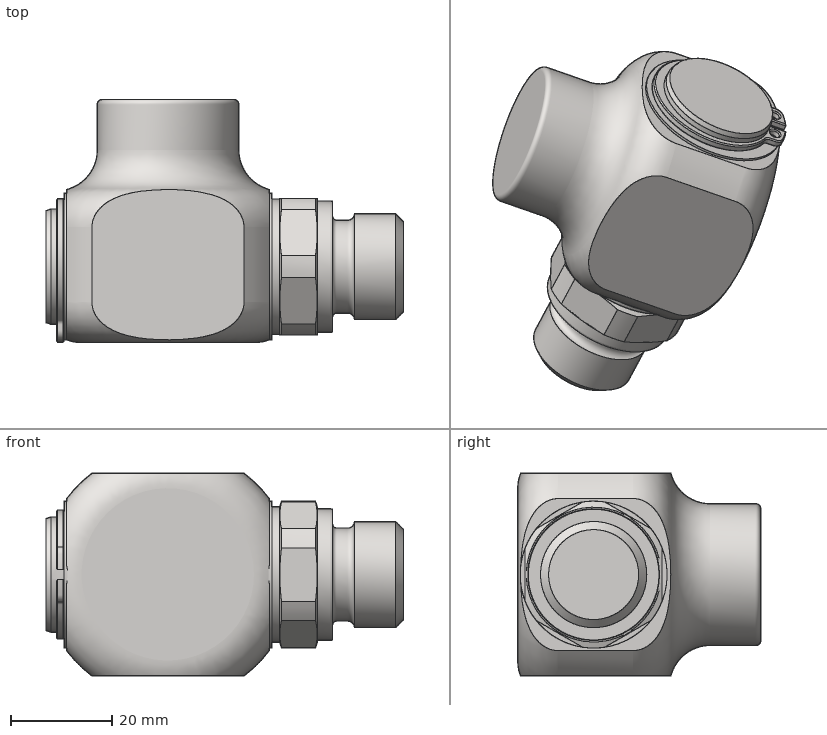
import cadquery as cq
import math


WIDTH = 40.0
TURNED_RADIUS = 25.0
FRONT_Y = -15.0
BLEND_RADIUS = 8.0
NECK_RADIUS = 14.0
NECK_ROOT_Y = 23.0
NECK_END_Y = 33.0
NECK_ROUNDING = 1.0

COLLAR_RADIUS = 14.5
COLLAR_END = 20.5
CLIP_END = 22.0
CAP_END = 24.1
CAP_RADIUS = 11.4
CAP_BEVEL_LENGTH = 1.0
CAP_BEVEL_DEPTH = 0.35
CLIP_RADIUS = 12.75
CLIP_OFFSET_Y = 0.7
CLIP_CHAMFER = 0.25
EAR_TIP_RADIUS = 14.95
EAR_HALF_WIDTH = 5.45
EAR_ROUNDING = 1.8
EAR_ROOT_FILLET = 1.0
EAR_GAP = 2.0
EAR_ROOT_Y = -9.0
EAR_HOLE_DIAMETER = 2.0
EAR_HOLE_Y = -12.5
EAR_HOLE_Z = 3.05

NECKED_RADIUS = 13.4
HEX_START = 22.0
HEX_END = 29.5
HEX_ACROSS_FLATS = 27.0
HEX_CORNER_RADIUS = COLLAR_RADIUS
HEX_SECTOR = 60.0
HEX_BEVEL_LENGTH = 0.4
HEX_BEVEL_DEPTH = 1.2
FLANGE_RADIUS = 13.0
FLANGE_END = 32.5
FLANGE_BEVEL_LENGTH = 0.4
FLANGE_BEVEL_DEPTH = 0.1
UNDERCUT_RADIUS = 9.2
UNDERCUT_FILLET = 0.8
THREAD_RADIUS = 20.96 / 2
THREAD_START = 36.77
THREAD_END = 46.5
THREAD_CHAMFER = 1.6

ARC_MID = math.sqrt(0.5)


def cylinder_x(radius, start, end):
    """Solid cylinder on the X axis between two X positions."""
    return cq.Workplane("YZ", origin=(start, 0, 0)).circle(radius).extrude(end - start)


def revolve_about_x(profile):
    return profile.close().revolve(360, (0, 0, 0), (1, 0, 0))


def make_body():
    shoulder_radius = TURNED_RADIUS - BLEND_RADIUS
    front_shoulder_y = FRONT_Y + BLEND_RADIUS
    root_centre_r = NECK_RADIUS + BLEND_RADIUS
    centre_step_r = root_centre_r - shoulder_radius
    centre_step_y = math.sqrt((2 * BLEND_RADIUS) ** 2 - centre_step_r ** 2)
    back_shoulder_y = NECK_ROOT_Y - centre_step_y
    meet_r = (root_centre_r + shoulder_radius) / 2
    meet_y = (NECK_ROOT_Y + back_shoulder_y) / 2

    turned = (
        cq.Workplane("XY")
        .moveTo(0, FRONT_Y)
        .lineTo(shoulder_radius, FRONT_Y)
        .tangentArcPoint((TURNED_RADIUS, front_shoulder_y), relative=False)
        .lineTo(TURNED_RADIUS, back_shoulder_y)
        .tangentArcPoint((meet_r, meet_y), relative=False)
        .tangentArcPoint((NECK_RADIUS, NECK_ROOT_Y), relative=False)
        .lineTo(NECK_RADIUS, NECK_END_Y - NECK_ROUNDING)
        .tangentArcPoint((NECK_RADIUS - NECK_ROUNDING, NECK_END_Y), relative=False)
        .lineTo(0, NECK_END_Y)
        .close()
        .revolve(360, (0, 0, 0), (0, 1, 0))
    )
    square = cq.Workplane("XZ").rect(WIDTH, WIDTH).extrude(NECK_END_Y, both=True)
    return turned.intersect(square)


def make_cap():
    collar = cylinder_x(COLLAR_RADIUS, -COLLAR_END, 0)
    cap = revolve_about_x(
        cq.Workplane("XY")
        .moveTo(0, 0)
        .lineTo(-CAP_END, 0)
        .lineTo(-CAP_END, CAP_RADIUS - CAP_BEVEL_DEPTH)
        .lineTo(-CAP_END + CAP_BEVEL_LENGTH, CAP_RADIUS)
        .lineTo(0, CAP_RADIUS)
    )
    return collar.union(cap)


def make_clip():
    """Eccentric retaining ring with two drilled ears at -Y, separated by a gap."""
    thickness = CLIP_END - COLLAR_END
    plane = cq.Workplane("YZ", origin=(-CLIP_END, 0, 0))
    ring = plane.center(CLIP_OFFSET_Y, 0).circle(CLIP_RADIUS).extrude(thickness)

    ear_length = EAR_ROOT_Y + EAR_TIP_RADIUS
    ear_strip = plane.center(EAR_ROOT_Y - ear_length / 2, 0)
    ears = ear_strip.rect(ear_length, 2 * EAR_HALF_WIDTH).extrude(thickness)
    ears = ears.intersect(plane.circle(EAR_TIP_RADIUS).extrude(thickness))
    ears = ears.edges("|X").edges("<Y").fillet(EAR_ROUNDING)

    clip = ring.union(ears)
    corner_x = -CLIP_END + thickness / 2
    corner_y = CLIP_OFFSET_Y - math.sqrt(CLIP_RADIUS ** 2 - EAR_HALF_WIDTH ** 2)
    for corner_z in (EAR_HALF_WIDTH, -EAR_HALF_WIDTH):
        corner = cq.selectors.NearestToPointSelector((corner_x, corner_y, corner_z))
        clip = clip.edges("|X").edges(corner).fillet(EAR_ROOT_FILLET)

    clip = clip.cut(ear_strip.rect(ear_length, EAR_GAP).extrude(thickness))
    hole_places = [(EAR_HOLE_Y, EAR_HOLE_Z), (EAR_HOLE_Y, -EAR_HOLE_Z)]
    holes = plane.pushPoints(hole_places).circle(EAR_HOLE_DIAMETER / 2)
    clip = clip.cut(holes.extrude(thickness))
    return clip.faces("<X or >X").chamfer(CLIP_CHAMFER)


def make_hex():
    """Hex prism with its corners turned round and its ends bevelled."""
    across_corners = HEX_ACROSS_FLATS / math.cos(math.radians(HEX_SECTOR / 2))
    length = HEX_END - HEX_START
    prism = (
        cq.Workplane("YZ", origin=(HEX_START, 0, 0))
        .transformed(rotate=(0, 0, HEX_SECTOR / 2))
        .polygon(6, across_corners)
        .extrude(length)
    )
    bevelled_end_radius = HEX_CORNER_RADIUS - HEX_BEVEL_DEPTH
    turned = revolve_about_x(
        cq.Workplane("XY")
        .moveTo(HEX_START, 0)
        .lineTo(HEX_START, bevelled_end_radius)
        .lineTo(HEX_START + HEX_BEVEL_LENGTH, HEX_CORNER_RADIUS)
        .lineTo(HEX_END - HEX_BEVEL_LENGTH, HEX_CORNER_RADIUS)
        .lineTo(HEX_END, bevelled_end_radius)
        .lineTo(HEX_END, 0)
    )
    return prism.intersect(turned)


def make_stub():
    """Everything round at +X: collar, necked part, flange, undercut and thread."""
    undercut_rise = THREAD_RADIUS - UNDERCUT_RADIUS
    undercut_end = THREAD_START - undercut_rise
    fillet_mid = UNDERCUT_FILLET * (1 - ARC_MID)
    rise_mid = undercut_rise * ARC_MID
    return revolve_about_x(
        cq.Workplane("XY")
        .moveTo(0, 0)
        .lineTo(0, COLLAR_RADIUS)
        .lineTo(COLLAR_END, COLLAR_RADIUS)
        .lineTo(COLLAR_END, NECKED_RADIUS)
        .lineTo(HEX_START, NECKED_RADIUS)
        .lineTo(HEX_START, FLANGE_RADIUS)
        .lineTo(FLANGE_END - FLANGE_BEVEL_LENGTH, FLANGE_RADIUS)
        .lineTo(FLANGE_END, FLANGE_RADIUS - FLANGE_BEVEL_DEPTH)
        .lineTo(FLANGE_END, UNDERCUT_RADIUS + UNDERCUT_FILLET)
        .threePointArc(
            (FLANGE_END + fillet_mid, UNDERCUT_RADIUS + fillet_mid),
            (FLANGE_END + UNDERCUT_FILLET, UNDERCUT_RADIUS),
        )
        .lineTo(undercut_end, UNDERCUT_RADIUS)
        .threePointArc(
            (undercut_end + rise_mid, THREAD_RADIUS - rise_mid),
            (THREAD_START, THREAD_RADIUS),
        )
        .lineTo(THREAD_END - THREAD_CHAMFER, THREAD_RADIUS)
        .lineTo(THREAD_END, THREAD_RADIUS - THREAD_CHAMFER)
        .lineTo(THREAD_END, 0)
    )


result = make_body().union(make_cap()).union(make_clip()).union(make_hex()).union(make_stub())